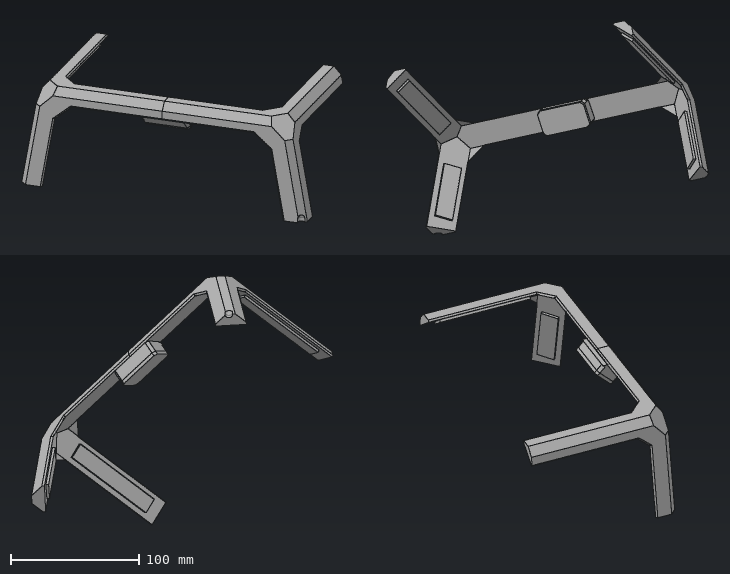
import cadquery as cq
import math

WIDTH = 238.0
DEPTH = 119.0
HEIGHT = 85.0
LEG_TILT = 10.0

TOP_CHAMFER_FLAT = 5.0
TOP_CHAMFER_DROP = 6.7
LEG_CHAMFER = 5.0

FACET_REACH = 20.0
FACET_LEG_REACH = 23.0

BEAM_DEPTH = 16.0
BEAM_HEIGHT = 14.5
ARM_WIDTH = 15.5
ARM_HEIGHT = 15.2
LEG_WIDTH = 18.5
LEG_DEPTH = 18.3
LIP = 1.5

FRONT_GUSSET = 43.5
TOP_GUSSET = 40.2
SIDE_GUSSET_ARM = 43.3
SIDE_GUSSET_LEG = 37.8

STRIP_THICKNESS = 2.1
STRIP_END_GAP = 10.7
STRIP_CORNER_GAP = 31.0
STRIP_EDGE_SHARE = 0.2

SOCKET_DIAMETER = 6.0
SOCKET_STRAIGHT = 3.3
SOCKET_INSET = 3.8
SOCKET_SETBACK = 1.7

MOUNT_LENGTH = 39.7
MOUNT_CORNER = 2.4
SHELF_DEPTH = 3.0
BOX_HEIGHT = 6.2
LID_HEIGHT = 2.9
SHELF_DROP = 2.5

tilt = math.radians(LEG_TILT)
Vec = cq.Vector
corner = Vec(WIDTH / 2 - HEIGHT * math.tan(tilt), 0, HEIGHT)

along_beam = Vec(-1, 0, 0)
along_arm = Vec(0, 1, 0)
along_leg = Vec(math.sin(tilt), 0, -math.cos(tilt))
into_side = Vec(-math.cos(tilt), 0, -math.sin(tilt))
into_front = Vec(0, 1, 0)
into_top = Vec(0, 0, -1)

leg_length = HEIGHT / math.cos(tilt)
beam_path = along_beam * corner.x
arm_path = along_arm * DEPTH
leg_path = along_leg * (leg_length + LEG_WIDTH)


def prism(points, path):
    """Solid swept by a flat polygon along a straight path."""
    wire = cq.Wire.makePolygon(points, close=True)
    return cq.Workplane(cq.Solid.extrudeLinear(wire, [], path))


def bar(path, side_a, side_b, width_a, width_b):
    """Bar with its outer edge on `path` from the corner and a bevelled lip on both inner rims."""
    rim_a = corner + side_a * width_a
    rim_b = corner + side_b * width_b
    points = [
        corner,
        rim_a - side_a * LIP,
        rim_a + side_b * LIP,
        rim_b + side_a * LIP,
        rim_b - side_b * LIP,
    ]
    return prism(points, path)


def gusset(edge_a, edge_b, reach_a, reach_b, inward):
    """Triangular brace in one outer plane, its free edge bevelled like the lips."""
    spread = LIP * math.sqrt(2)
    outer = [corner, corner + edge_a * reach_a, corner + edge_b * reach_b]
    inner = [corner, corner + edge_a * (reach_a + spread), corner + edge_b * (reach_b + spread)]
    outer_wire = cq.Wire.makePolygon(outer, close=True)
    inner_wire = cq.Wire.makePolygon([point + inward * LIP for point in inner], close=True)
    return cq.Workplane(cq.Solid.makeLoft([outer_wire, inner_wire], True))


def edge_chamfer(path, side_a, side_b, size_a, size_b):
    """Wedge that chamfers the sharp edge running from the corner along `path`."""
    return prism([corner, corner + side_a * size_a, corner + side_b * size_b], path)


def facet_cutter():
    """Block whose lower face cuts the corner off as a flat facet."""
    on_beam = corner + along_beam * FACET_REACH
    on_arm = corner + along_arm * FACET_REACH
    on_leg = corner + along_leg * FACET_LEG_REACH
    outward = (on_beam - on_leg).cross(on_arm - on_leg)
    if outward.dot(corner - on_leg) < 0:
        outward = outward * -1
    plane = cq.Plane(origin=on_leg, xDir=on_beam - on_leg, normal=outward)
    return cq.Workplane(plane).rect(DEPTH, DEPTH).extrude(HEIGHT)


def envelope():
    """Outer planes of the right half, with chamfered edges and the corner facet."""
    block = prism([Vec(0, 0, 0), Vec(WIDTH / 2, 0, 0), corner, Vec(0, 0, HEIGHT)], arm_path)
    block = block.cut(edge_chamfer(beam_path, along_arm, into_top, TOP_CHAMFER_FLAT, TOP_CHAMFER_DROP))
    block = block.cut(edge_chamfer(arm_path, along_beam, along_leg, TOP_CHAMFER_FLAT, TOP_CHAMFER_DROP))
    block = block.cut(edge_chamfer(leg_path, into_side, along_arm, LEG_CHAMFER, LEG_CHAMFER))
    return block.cut(facet_cutter())


def frame_half():
    """Right half of the frame: beam, arm and leg meeting at a braced corner."""
    body = bar(beam_path, along_arm, into_top, BEAM_DEPTH, BEAM_HEIGHT)
    body = body.union(bar(arm_path, along_beam, along_leg, ARM_WIDTH, ARM_HEIGHT))
    body = body.union(bar(leg_path, into_side, along_arm, LEG_WIDTH, LEG_DEPTH))
    body = body.union(gusset(along_beam, along_leg, FRONT_GUSSET, FRONT_GUSSET, into_front))
    body = body.union(gusset(along_beam, along_arm, TOP_GUSSET, TOP_GUSSET, into_top))
    body = body.union(gusset(along_arm, along_leg, SIDE_GUSSET_ARM, SIDE_GUSSET_LEG, into_side))
    return body.intersect(envelope())


def foot_socket():
    """Upright bore with a hemispherical nose, to be cut from the right foot."""
    axis = (WIDTH / 2 - SOCKET_INSET, SOCKET_SETBACK)
    bore = cq.Workplane("XY").center(*axis).circle(SOCKET_DIAMETER / 2).extrude(SOCKET_STRAIGHT)
    nose = cq.Workplane("XY", origin=(*axis, SOCKET_STRAIGHT)).sphere(SOCKET_DIAMETER / 2)
    return bore.union(nose)


def strip(side_a, side_b, width_a, width_b, edge, length):
    """Flat cover strip lying on the inner face of a right-hand bar."""
    rim_a = corner + side_a * width_a + side_b * LIP
    rim_b = corner + side_b * width_b + side_a * LIP
    across = rim_b - rim_a
    off_face = across.cross(edge).normalized() * STRIP_THICKNESS
    if off_face.dot(side_a) < 0:
        off_face = off_face * -1
    first = rim_a + across * STRIP_EDGE_SHARE + edge * STRIP_CORNER_GAP
    second = rim_b - across * STRIP_EDGE_SHARE + edge * STRIP_CORNER_GAP
    points = [first, second, second + off_face, first + off_face]
    return prism(points, edge * (length - STRIP_CORNER_GAP - STRIP_END_GAP))


def mirrored(body):
    """Left-hand copy of a right-hand body."""
    return body.mirror("YZ")


out_of_beam = Vec(0, 1, -1).normalized()
up_slope = Vec(0, 1, 1).normalized()
top_rim = Vec(0, BEAM_DEPTH, HEIGHT - LIP)
bottom_rim = Vec(0, LIP, HEIGHT - BEAM_HEIGHT)
shelf_edge = Vec(0, BEAM_DEPTH + SHELF_DEPTH, HEIGHT - SHELF_DROP)
mount_width = up_slope.dot(shelf_edge - bottom_rim)
corner_edges = cq.selectors.ParallelDirSelector(out_of_beam)


def mount_block(start, height):
    """Slab of the mount between two distances from the shelf, with its four corners chamfered."""
    centre = shelf_edge + out_of_beam * start - up_slope * (mount_width / 2)
    plane = cq.Plane(origin=centre, xDir=Vec(1, 0, 0), normal=out_of_beam)
    slab = cq.Workplane(plane).rect(MOUNT_LENGTH, mount_width).extrude(height)
    return slab.edges(corner_edges).chamfer(MOUNT_CORNER)


def mount_box():
    """Box with a foot that fills the space up to the inner face of the beam."""
    inner_face = top_rim - bottom_rim
    shelf_root = bottom_rim + inner_face * ((shelf_edge.z - bottom_rim.z) / inner_face.z)
    foot_section = [shelf_root, shelf_edge, shelf_edge - up_slope * mount_width, bottom_rim]
    half_length = Vec(MOUNT_LENGTH / 2, 0, 0)
    foot = prism([point - half_length for point in foot_section], half_length * 2)
    foot = foot.edges(corner_edges).chamfer(MOUNT_CORNER)
    return foot.union(mount_block(0, BOX_HEIGHT))


right_half = frame_half()
left_half = mirrored(right_half)
right_half = right_half.cut(foot_socket())

arm_strip = strip(along_beam, along_leg, ARM_WIDTH, ARM_HEIGHT, along_arm, DEPTH)
leg_strip = strip(into_side, along_arm, LEG_WIDTH, LEG_DEPTH, along_leg, leg_length)
strips = []
for right_strip in (arm_strip, leg_strip):
    strips.append(right_strip.val())
    strips.append(mirrored(right_strip).val())

lid = mount_block(BOX_HEIGHT, LID_HEIGHT)

result = cq.Compound.makeCompound([right_half.val(), left_half.val(), mount_box().val(), lid.val(), *strips])